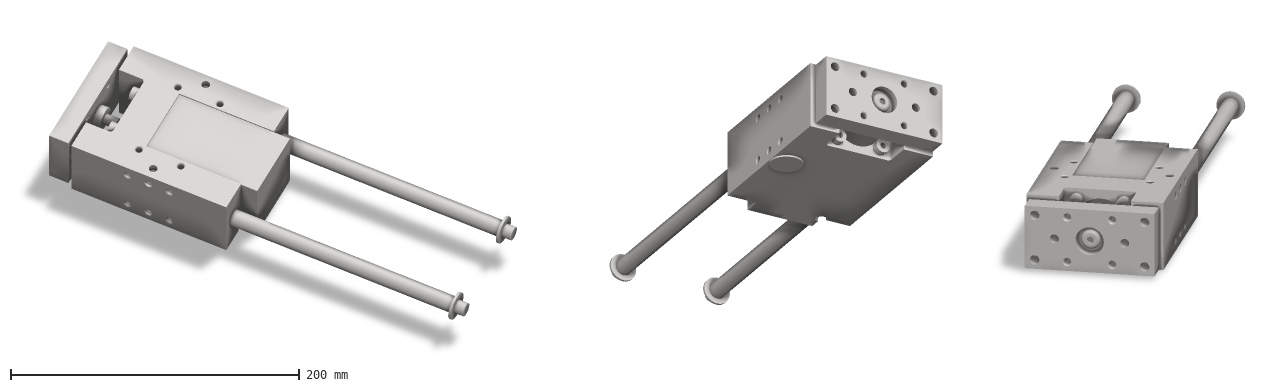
import cadquery as cq

TOTAL_LENGTH = 319.0
PLATE_THICKNESS = 15.0
PLATE_WIDTH = 92.0
PLATE_HEIGHT = 45.5

ROD_DIA = 12.0
ROD_Y = 37.0
WASHER_DIA = 20.0
WASHER_THICKNESS = 2.0
ROD_TIP_DIA = 10.0
ROD_TIP_LENGTH = 7.0

COLLAR_DIA = 17.0
COLLAR_LENGTH = 5.7
STUD_DIA = 8.0
STUD_LENGTH = 9.5

HEAD_BORE_DIA = 20.0
HEAD_BORE_DEPTH = 7.0
HEAD_DIA = 14.0
HEAD_HEIGHT = 4.5
HEAD_ROUND = 3.0
HEAD_FLANGE_DIA = 17.0
HEAD_FLANGE_THICKNESS = 1.3
HEAD_SOCKET_DIA = 4.8
HEAD_SOCKET_DEPTH = 2.5

PLATE_CORNER_HOLE_DIA = 6.7
PLATE_CORNER_HOLE_Y = 39.0
PLATE_DOWEL_DIA = 6.5
PLATE_DOWEL_Y = 25.0
PLATE_BLIND_DEPTH = 9.5
PLATE_SCREW_Y = 16.0

BLOCK_START = 18.5
BLOCK_LENGTH = 120.3
BLOCK_WIDTH = 97.0
BLOCK_HEIGHT = 49.0
BLOCK_CENTER_Z = 0.48

NOTCH_FLOOR_X = 38.5
NOTCH_WIDTH = 51.0
NOTCH_CORNER_RADIUS = 2.5
PISTON_BORE_DIA = 37.0
PISTON_BORE_DEPTH = 63.8

COVER_START = 65.5
COVER_END = 151.2
COVER_SINK = 1.0
RELIEF_DIA = 8.0
RELIEF_HEIGHT = 6.0

FOOT_DIA = 23.5
FOOT_HEIGHT = 1.3
FOOT_X = 75.3
FOOT_Y = 36.5

BOLT_DIA = 10.0
BOLT_HEIGHT = 5.7
BOLT_OFFSET = 17.0
BOLT_SOCKET_DIA = 4.5
BOLT_SOCKET_DEPTH = 3.8

PATTERN_X = 78.0
PATTERN_PITCH = 16.3
HOLE_Z = 16.3
TOP_SCREW_Y = 30.3
TOP_DOWEL_Y = 40.8
DOWEL_DIA = 6.0
DOWEL_DEPTH = 5.7

TAP_MOUTH_DIA = 6.0
TAP_CORE_DIA = 4.8
TAP_DEPTH = 9.5
TAP_TIP_LENGTH = 1.5

BLOCK_END = BLOCK_START + BLOCK_LENGTH
BLOCK_TOP = BLOCK_CENTER_Z + BLOCK_HEIGHT / 2
BLOCK_BOTTOM = BLOCK_CENTER_Z - BLOCK_HEIGHT / 2
PLUS_MINUS = (-1, 1)


def cylinder(start, direction, length, dia):
    return cq.Workplane(cq.Solid.makeCylinder(dia / 2, length, cq.Vector(*start), cq.Vector(*direction)))


def cone(start, direction, length, start_dia, end_dia):
    return cq.Workplane(
        cq.Solid.makeCone(start_dia / 2, end_dia / 2, length, cq.Vector(*start), cq.Vector(*direction))
    )


def x_cylinder(x_start, x_end, dia, y=0.0, z=0.0):
    return cylinder((x_start, y, z), (1, 0, 0), x_end - x_start, dia)


def box_between(x_range, y_range, z_range):
    sizes = [high - low for low, high in (x_range, y_range, z_range)]
    corner = (x_range[0], y_range[0], z_range[0])
    return cq.Workplane("XY").box(*sizes, centered=False).translate(corner)


def tap_mouth(start, direction):
    return cone(start, direction, (TAP_MOUTH_DIA - TAP_CORE_DIA) / 2, TAP_MOUTH_DIA, TAP_CORE_DIA)


def tapped_hole(start, direction):
    tip_start = cq.Vector(*start) + cq.Vector(*direction) * TAP_DEPTH
    tip = cone(tip_start.toTuple(), direction, TAP_TIP_LENGTH, TAP_CORE_DIA, 0)
    return cylinder(start, direction, TAP_DEPTH, TAP_CORE_DIA).union(tip).union(tap_mouth(start, direction))


def make_plate():
    plate = box_between(
        (0, PLATE_THICKNESS), (-PLATE_WIDTH / 2, PLATE_WIDTH / 2), (-PLATE_HEIGHT / 2, PLATE_HEIGHT / 2)
    )
    for side in PLUS_MINUS:
        plate = plate.cut(x_cylinder(0, PLATE_BLIND_DEPTH, PLATE_DOWEL_DIA, side * PLATE_DOWEL_Y))
        for z in (-HOLE_Z, HOLE_Z):
            corner_y = side * PLATE_CORNER_HOLE_Y
            plate = plate.cut(x_cylinder(0, PLATE_BLIND_DEPTH, PLATE_CORNER_HOLE_DIA, corner_y, z))
            screw_y = side * PLATE_SCREW_Y
            plate = plate.cut(x_cylinder(0, PLATE_THICKNESS, TAP_CORE_DIA, screw_y, z))
            plate = plate.cut(tap_mouth((0, screw_y, z), (1, 0, 0)))
    return plate


def make_rod(y):
    shoulder_x = TOTAL_LENGTH - ROD_TIP_LENGTH
    rod = x_cylinder(PLATE_THICKNESS, shoulder_x, ROD_DIA, y)
    washer = x_cylinder(shoulder_x - WASHER_THICKNESS, shoulder_x, WASHER_DIA, y)
    tip = x_cylinder(shoulder_x, TOTAL_LENGTH, ROD_TIP_DIA, y)
    return rod.union(washer).union(tip)


def make_piston_stud():
    collar_end = PLATE_THICKNESS + COLLAR_LENGTH
    collar = x_cylinder(PLATE_THICKNESS, collar_end, COLLAR_DIA)
    return collar.union(x_cylinder(collar_end, collar_end + STUD_LENGTH, STUD_DIA))


def make_stud_head():
    face_x = HEAD_BORE_DEPTH - HEAD_HEIGHT
    head = x_cylinder(face_x, HEAD_BORE_DEPTH, HEAD_DIA).faces("<X").edges().fillet(HEAD_ROUND)
    flange_x = HEAD_BORE_DEPTH - HEAD_FLANGE_THICKNESS
    head = head.union(x_cylinder(flange_x, HEAD_BORE_DEPTH, HEAD_FLANGE_DIA))
    return head.cut(x_cylinder(face_x, face_x + HEAD_SOCKET_DEPTH, HEAD_SOCKET_DIA))


def make_slide():
    slide = make_plate().cut(x_cylinder(0, HEAD_BORE_DEPTH, HEAD_BORE_DIA))
    slide = slide.union(make_stud_head()).union(make_piston_stud())
    for side in PLUS_MINUS:
        slide = slide.union(make_rod(side * ROD_Y))
    return slide


def make_block():
    half_notch = NOTCH_WIDTH / 2
    notch_y = (-half_notch, half_notch)
    block = box_between(
        (BLOCK_START, BLOCK_END), (-BLOCK_WIDTH / 2, BLOCK_WIDTH / 2), (BLOCK_BOTTOM, BLOCK_TOP)
    )
    notch = box_between((BLOCK_START, NOTCH_FLOOR_X), notch_y, (BLOCK_BOTTOM, BLOCK_TOP))
    block = block.cut(notch.edges("|Z and >X").fillet(NOTCH_CORNER_RADIUS))
    cover_top = BLOCK_TOP - COVER_SINK
    block = block.cut(box_between((COVER_START, BLOCK_END), notch_y, (cover_top, BLOCK_TOP)))
    block = block.union(box_between((BLOCK_END, COVER_END), notch_y, (BLOCK_BOTTOM, cover_top)))
    relief = cylinder((BLOCK_END, -half_notch, BLOCK_BOTTOM), (0, 0, 1), RELIEF_HEIGHT, RELIEF_DIA)
    foot = cylinder((FOOT_X, FOOT_Y, BLOCK_BOTTOM), (0, 0, -1), FOOT_HEIGHT, FOOT_DIA)
    return block.cut(relief).union(foot)


def add_bolt_heads(housing):
    face_x = NOTCH_FLOOR_X - BOLT_HEIGHT
    for y in (-BOLT_OFFSET, BOLT_OFFSET):
        for z in (-BOLT_OFFSET, BOLT_OFFSET):
            head = x_cylinder(face_x, NOTCH_FLOOR_X, BOLT_DIA, y, z)
            socket = x_cylinder(face_x, face_x + BOLT_SOCKET_DEPTH, BOLT_SOCKET_DIA, y, z)
            housing = housing.union(head.cut(socket))
    return housing


def cut_hole_pattern(housing):
    for side in PLUS_MINUS:
        face_y = side * BLOCK_WIDTH / 2
        inward = (0, -side, 0)
        for z in (-HOLE_Z, HOLE_Z):
            housing = housing.cut(cylinder((PATTERN_X, face_y, z), inward, DOWEL_DEPTH, DOWEL_DIA))
            for step in PLUS_MINUS:
                housing = housing.cut(tapped_hole((PATTERN_X + step * PATTERN_PITCH, face_y, z), inward))
        top_dowel = (PATTERN_X, side * TOP_DOWEL_Y, BLOCK_TOP)
        housing = housing.cut(cylinder(top_dowel, (0, 0, -1), DOWEL_DEPTH, DOWEL_DIA))
        for step in PLUS_MINUS:
            top_screw = (PATTERN_X + step * PATTERN_PITCH, side * TOP_SCREW_Y, BLOCK_TOP)
            housing = housing.cut(tapped_hole(top_screw, (0, 0, -1)))
    return housing


def make_housing():
    housing = make_block()
    housing = housing.cut(x_cylinder(NOTCH_FLOOR_X, NOTCH_FLOOR_X + PISTON_BORE_DEPTH, PISTON_BORE_DIA))
    for side in PLUS_MINUS:
        housing = housing.cut(x_cylinder(BLOCK_START, BLOCK_END, ROD_DIA, side * ROD_Y))
    housing = add_bolt_heads(housing)
    return cut_hole_pattern(housing)


slide = make_slide()
housing = make_housing()
result = cq.Compound.makeCompound([housing.val(), slide.val()])